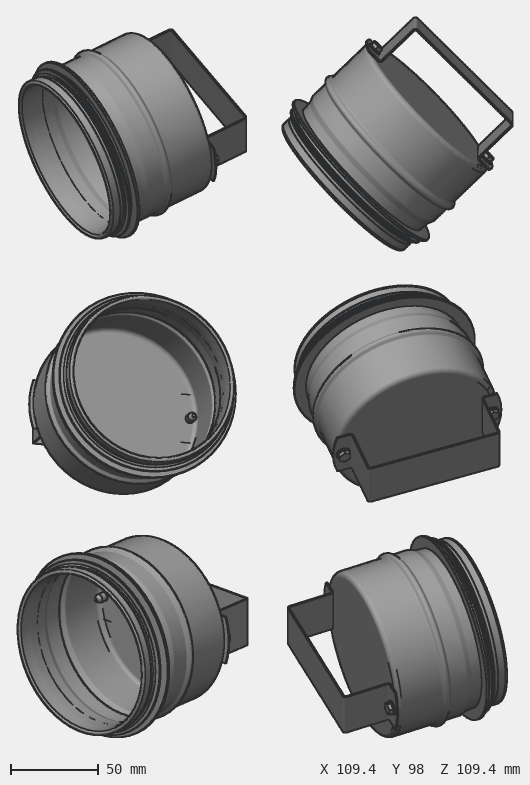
import cadquery as cq
import math


overall_length = 98.0
sheet = 0.49

body_diameter = 99.0
body_radius = body_diameter / 2
back_y = 69.0
back_corner_radius = 3.1

bead_y = 38.1
bead_crest_radius = 51.5
bead_round = 2.0
bead_root_round = 1.0
bead_slope = 50.0
bead_half_width = 3.1

shoulder_y = 25.4
shoulder_round = 2.2
shoulder_slope = 22.0
neck_top_y = 21.7
neck_top_radius = 48.2
neck_root_round = 1.1
spigot_y = 9.0
spigot_diameter = 94.2
spigot_radius = spigot_diameter / 2
spigot_round = 1.1
fold_end_y = 6.0

seal_radius = body_radius - sheet
flange_radius = 54.7
flange_y = 14.0
flange_top_y = 15.7
lip_radius = 52.2
flange_root_y = 13.7
rim_bevel = 0.2
lip_y = 10.0
lip_top_y = 11.2
ridge_radius = 50.3
ridge_y = 8.5
ridge_half_width = 0.5

handle_sheet = 1.0
handle_width = 28.7
handle_half_span = 40.0
handle_inner_bend = 0.8
foot_tip_x = 50.9
foot_corner_x = 48.5

screw_x = 45.0
shank_diameter = 5.1
shank_end_diameter = 4.0
tip_diameter = 2.0
shank_length = 5.5
shank_taper = 1.1
tip_length = 1.6
washer_diameter = 8.4
washer_rim = 0.2
washer_height = 1.0
washer_top_diameter = 7.7
hex_across_flats = 6.3
hexagon_turn = 30
head_height = 3.4


def normal(angle):
    a = math.radians(angle)
    return math.cos(a), math.sin(a)


def offset_point(center, radius, depth, angle):
    """Point of a bend at a given depth below the outer skin; a hollow bend has a negative radius."""
    nx, ny = normal(angle)
    reach = radius - depth
    return center[0] + reach * nx, center[1] + reach * ny


def rounded_vertex(vertex, radius, first, last):
    """Bend that rounds the corner between two skins with the given normal angles."""
    half_turn = math.radians(abs(last - first) / 2)
    nx, ny = normal((first + last) / 2)
    shift = -radius / math.cos(half_turn)
    return (vertex[0] + shift * nx, vertex[1] + shift * ny), radius, first, last


def add_bend(path, bend, depth, backwards=False):
    """Line to a bend, then its arc. A bend is (center, signed radius, first and last normal angle)."""
    center, radius, first, last = bend
    if backwards:
        first, last = last, first
    middle = (first + last) / 2
    start_point, middle_point, end_point = [
        offset_point(center, radius, depth, angle) for angle in (first, middle, last)
    ]
    return path.lineTo(*start_point).threePointArc(middle_point, end_point)


def bent_sheet(start, start_angle, bends, end, end_angle, thickness):
    """Closed XY outline of a sheet: along the outer skin, then back along the inner skin."""
    path = cq.Workplane("XY").moveTo(*start)
    for bend in bends:
        path = add_bend(path, bend, 0)
    path = path.lineTo(*end).lineTo(*offset_point(end, 0, thickness, end_angle))
    for bend in reversed(bends):
        path = add_bend(path, bend, thickness, backwards=True)
    return path.lineTo(*offset_point(start, 0, thickness, start_angle)).close()


def turned(outline):
    return outline.revolve(360, (0, 0, 0), (0, 1, 0))


taper = math.degrees(math.atan2(neck_top_radius - spigot_radius, neck_top_y - spigot_y))
fold_inner_radius = (seal_radius - spigot_radius) / 2
fold_center = ((seal_radius + spigot_radius) / 2, fold_inner_radius + sheet)
spigot_bend = rounded_vertex((spigot_radius, spigot_y), -spigot_round, -taper, 0)


def make_housing():
    corner_center = (body_radius - back_corner_radius, back_y - back_corner_radius)
    root_center_radius = body_radius + bead_root_round
    crest_center = (bead_crest_radius - bead_round, bead_y)
    bends = [
        (corner_center, back_corner_radius, 90, 0),
        ((root_center_radius, bead_y + bead_half_width), -bead_root_round, 0, bead_slope),
        (crest_center, bead_round, bead_slope, -bead_slope),
        ((root_center_radius, bead_y - bead_half_width), -bead_root_round, -bead_slope, 0),
        ((body_radius - shoulder_round, shoulder_y), shoulder_round, 0, -shoulder_slope),
        rounded_vertex((neck_top_radius, neck_top_y), -neck_root_round, -shoulder_slope, -taper),
        spigot_bend,
        (fold_center, -fold_inner_radius, 0, 180),
    ]
    wall = turned(bent_sheet((0, back_y), 90, bends, (seal_radius, fold_end_y), 180, sheet))
    return wall.cut(screw_holes())


def add_rim(path, radius, root_y, bottom_y, top_y):
    """Underside and bevelled edge of a lip that stands out from the seal."""
    return (
        path.lineTo(seal_radius, root_y)
        .lineTo(radius - rim_bevel, bottom_y)
        .lineTo(radius, bottom_y + rim_bevel)
        .lineTo(radius, top_y - rim_bevel)
        .lineTo(radius - rim_bevel, top_y)
    )


def make_seal():
    flange_inner_radius = spigot_radius + (flange_top_y - spigot_y) * math.tan(math.radians(taper))
    outline = (
        cq.Workplane("XY")
        .moveTo(spigot_radius, fold_center[1])
        .lineTo(seal_radius, fold_center[1])
        .lineTo(seal_radius, ridge_y - ridge_half_width)
        .lineTo(ridge_radius, ridge_y)
        .lineTo(seal_radius, ridge_y + ridge_half_width)
    )
    outline = add_rim(outline, lip_radius, lip_y, lip_y, lip_top_y)
    outline = outline.lineTo(seal_radius, lip_top_y)
    outline = add_rim(outline, flange_radius, flange_root_y, flange_y, flange_top_y)
    outline = outline.lineTo(flange_inner_radius, flange_top_y)
    return turned(add_bend(outline, spigot_bend, 0).close())


foot_y = back_y + handle_sheet
handle_outer_bend = handle_inner_bend + handle_sheet


def make_handle():
    root_x = handle_half_span + handle_inner_bend
    root_y = foot_y + handle_inner_bend
    corner_x = handle_half_span - handle_outer_bend
    corner_y = overall_length - handle_outer_bend
    bends = [
        ((-root_x, root_y), -handle_inner_bend, 90, 180),
        ((-corner_x, corner_y), handle_outer_bend, 180, 90),
        ((corner_x, corner_y), handle_outer_bend, 90, 0),
        ((root_x, root_y), -handle_inner_bend, 0, 90),
    ]
    foot_ends = ((-foot_tip_x, foot_y), (foot_tip_x, foot_y))
    outline = bent_sheet(foot_ends[0], 90, bends, foot_ends[1], 90, handle_sheet)
    half_width = handle_width / 2
    strip = outline.extrude(half_width, both=True)
    plan = (
        cq.Workplane("XZ")
        .moveTo(-foot_corner_x, half_width)
        .lineTo(foot_corner_x, half_width)
        .threePointArc((foot_tip_x, 0), (foot_corner_x, -half_width))
        .lineTo(-foot_corner_x, -half_width)
        .threePointArc((-foot_tip_x, 0), (-foot_corner_x, half_width))
        .close()
        .extrude(-overall_length)
    )
    return strip.intersect(plan).cut(screw_holes())


def screw_holes():
    places = [(-screw_x, 0), (screw_x, 0)]
    plane = cq.Workplane("XZ", origin=(0, foot_y, 0))
    return plane.pushPoints(places).circle(shank_diameter / 2).extrude(shank_length)


def make_screw(x):
    shank_end = -shank_length
    taper_end = shank_end - shank_taper
    shank_and_washer = turned(
        cq.Workplane("XY")
        .moveTo(0, taper_end - tip_length)
        .lineTo(tip_diameter / 2, taper_end - tip_length)
        .lineTo(shank_end_diameter / 2, taper_end)
        .lineTo(shank_diameter / 2, shank_end)
        .lineTo(shank_diameter / 2, 0)
        .lineTo(washer_diameter / 2, 0)
        .lineTo(washer_diameter / 2, washer_rim)
        .lineTo(washer_top_diameter / 2, washer_height)
        .lineTo(0, washer_height)
        .close()
    )
    across_corners = hex_across_flats / math.cos(math.pi / 6)
    hexagon = cq.Workplane("XZ").polygon(6, across_corners).extrude(-head_height)
    hexagon = hexagon.rotate((0, 0, 0), (0, 1, 0), hexagon_turn)
    return shank_and_washer.union(hexagon).translate((x, foot_y, 0))


housing = make_housing()
seal = make_seal()
handle = make_handle()
screws = [make_screw(x) for x in (-screw_x, screw_x)]

result = cq.Compound.makeCompound(
    [housing.val(), seal.val(), handle.val(), *[screw.val() for screw in screws]]
)